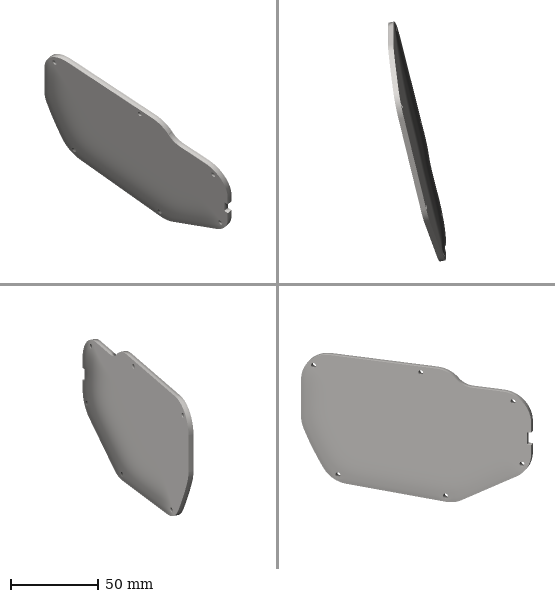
import cadquery as cq
import math

length = 139.0
height = 82.0
thickness = 3.2

corner_radius = 17.2
shoulder_height = 73.0
step_start_x = 81.7
step_end_x = 103.0
step_hollow_radius = 12.5
step_angle = 45.5
lower_right_slope = 30.0
bottom_slope = 3.2
left_slope = 24.0
left_bulge_angle = 32.0

top_left_center = (corner_radius, height - corner_radius)
step_center = (step_start_x, height - corner_radius)
hollow_center = (step_end_x, shoulder_height + step_hollow_radius)
top_right_center = (length - corner_radius, shoulder_height - corner_radius)
lower_right_center = (length - corner_radius, 36.4)
bottom_center = (88.4, corner_radius)
bottom_left_center = (28.1, 20.5)
left_center = (corner_radius, 41.4)
left_bulge_start = (4.3, 28.1)

notch_depth = 2.6
notch_bottom = 42.0
notch_top = 49.6

hole_diameter = 2.9
hole_centers = [
    (7.5, 74.2),
    (72.3, 78.2),
    (128.0, 67.5),
    (133.4, 29.5),
    (87.3, 3.6),
    (22.2, 8.3),
]


def on_arc(center, angle, radius=corner_radius):
    """Point on an arc, with the angle in degrees counterclockwise from +X."""
    turn = math.radians(angle)
    return (center[0] + radius * math.cos(turn), center[1] + radius * math.sin(turn))


def add_corner(outline, center, start, end, radius=corner_radius):
    """Run straight to the start of a corner arc, then follow the arc."""
    middle = on_arc(center, (start + end) / 2, radius)
    return outline.lineTo(*on_arc(center, start, radius)).threePointArc(
        middle, on_arc(center, end, radius)
    )


def make_plate():
    outline = cq.Workplane("XZ").moveTo(0, left_center[1])
    outline = add_corner(outline, top_left_center, 180, 90)
    outline = add_corner(outline, step_center, 90, 90 - step_angle)
    outline = add_corner(outline, hollow_center, 270 - step_angle, 270, step_hollow_radius)
    outline = add_corner(outline, top_right_center, 90, 0)
    outline = add_corner(outline, lower_right_center, 0, lower_right_slope - 90)
    outline = add_corner(outline, bottom_center, lower_right_slope - 90, -90 - bottom_slope)
    outline = add_corner(outline, bottom_left_center, -90 - bottom_slope, left_bulge_angle - 180)
    outline = outline.tangentArcPoint(left_bulge_start, relative=False)
    outline = add_corner(outline, left_center, 180 + left_slope, 180)
    return outline.close().extrude(-thickness)


def make_notch():
    return (
        cq.Workplane("XZ")
        .moveTo(length - notch_depth, notch_bottom)
        .rect(2 * notch_depth, notch_top - notch_bottom, centered=False)
        .extrude(-thickness)
    )


def make_holes():
    return (
        cq.Workplane("XZ")
        .pushPoints(hole_centers)
        .circle(hole_diameter / 2)
        .extrude(-thickness)
    )


result = make_plate().cut(make_notch()).cut(make_holes())